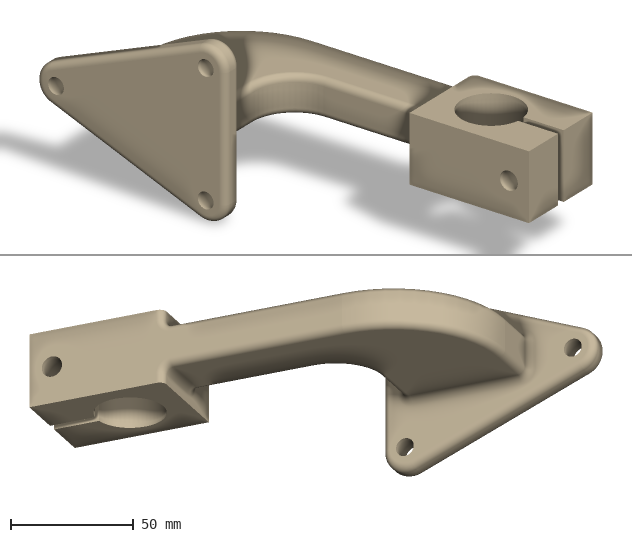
import cadquery as cq

length = 220.0
depth = 82.0
height = 79.9

corner_radius = 10.0
tip_x = corner_radius
plate_right = 95.0
corner_x = plate_right - corner_radius
corner_z = height / 2 - corner_radius
plate_corners = [(tip_x, 0), (corner_x, corner_z), (corner_x, -corner_z)]
plate_thickness = 10.0
plate_hole_diameter = 8.0

leg_left = 30.0
leg_right = 85.0
outer_bend_radius = 50.0
inner_bend_radius = 20.0
arm_width = 28.0
arm_height = 18.0

block_length = 60.0
block_width = 44.0
block_height = 32.5
block_left = length - block_length
bore_x = 185.0
bore_y = depth - block_width / 2
bore_diameter = 30.0
slot_width = 4.0
clamp_hole_x = 209.9
clamp_hole_diameter = 9.0

edge_radius = 3.0

selection_margin = 0.02


def make_plate():
    """Hull of three equal discs, with both rims rounded."""
    plane = cq.Workplane("XZ", origin=(0, plate_thickness, 0))
    core = plane.polyline(plate_corners).close().offset2D(corner_radius)
    return core.extrude(plate_thickness).faces("|Y").edges().fillet(edge_radius)


def make_arm():
    """Leg rising from the plate and bending towards the clamp block."""
    inner_y = depth - arm_width
    outline = (
        cq.Workplane("XY", origin=(0, 0, -arm_height / 2))
        .moveTo(leg_left, plate_thickness)
        .lineTo(leg_left, depth - outer_bend_radius)
        .radiusArc((leg_left + outer_bend_radius, depth), outer_bend_radius)
        .lineTo(block_left, depth)
        .lineTo(block_left, inner_y)
        .lineTo(leg_right + inner_bend_radius, inner_y)
        .radiusArc((leg_right, inner_y - inner_bend_radius), -inner_bend_radius)
        .lineTo(leg_right, plate_thickness)
        .close()
    )
    return outline.extrude(arm_height)


def make_block():
    """Rectangular block flush with the outer side of the arm."""
    return cq.Workplane("XY").box(block_length, block_width, block_height).translate(
        (block_left + block_length / 2, bore_y, 0)
    )


def round_arm(body):
    """Round the arm's long edges, both its joints and the block corner beside it."""
    m = selection_margin
    arm_box = cq.selectors.BoxSelector(
        (leg_left - m, plate_thickness - m, -arm_height / 2 - m),
        (block_left + m, depth + m, arm_height / 2 + m),
    )
    arm_outline_edges = arm_box - cq.selectors.StringSyntaxSelector("|Z")
    block_corner_edges = cq.selectors.BoxSelector(
        (block_left - m, depth - m, -block_height / 2),
        (block_left + m, depth + m, block_height / 2),
    )
    selector = arm_outline_edges + block_corner_edges

    upright_joints = [
        (leg_left, plate_thickness, 0),
        (leg_right, plate_thickness, 0),
        (block_left, depth - arm_width, 0),
    ]
    for point in upright_joints:
        selector = selector + cq.selectors.NearestToPointSelector(point)
    return body.edges(selector).fillet(edge_radius)


def cut_clamp(body):
    """Vertical bore, slot open at the end, and cross hole for the clamp screw."""
    bore = cq.Workplane("XY", origin=(bore_x, bore_y, 0)).circle(bore_diameter / 2)
    slot = cq.Workplane("XY", origin=(bore_x, bore_y, 0)).box(
        length, slot_width, block_height, centered=(False, True, True)
    )
    screw = cq.Workplane("XZ", origin=(clamp_hole_x, 0, 0)).circle(clamp_hole_diameter / 2)
    return (
        body.cut(bore.extrude(block_height / 2, both=True))
        .cut(slot)
        .cut(screw.extrude(-depth))
    )


def cut_plate_holes(body):
    """One hole through the plate at the centre of each rounded corner."""
    holes = cq.Workplane("XZ").pushPoints(plate_corners).circle(plate_hole_diameter / 2)
    return body.cut(holes.extrude(-plate_thickness))


body = make_plate().union(make_arm()).union(make_block())
body = round_arm(body)
result = cut_plate_holes(cut_clamp(body))